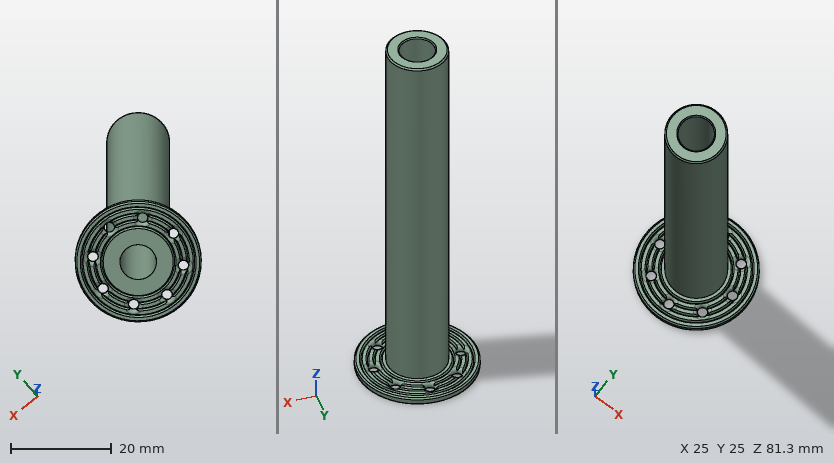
import cadquery as cq

total_height = 81.25
flange_diameter = 25.0
flange_thickness = 1.6
flange_chamfer = 0.3

tube_diameter = 12.5
tube_chamfer = 0.3
bore_diameter = 7.2
bore_chamfer = 0.25

hole_count = 8
hole_diameter = 2.0
hole_circle_radius = 9.0

groove_count = 4
first_groove_radius = 7.2
last_groove_radius = 11.2
groove_pitch = (last_groove_radius - first_groove_radius) / (groove_count - 1)
groove_width = 0.6
groove_depth = 0.5


def turn(outline):
    """Solid of revolution about the Z axis from a closed half section."""
    return outline.close().revolve(360, (0, 0), (0, 1))


def make_body():
    """Tube standing on the flange, turned from one half section with a through bore."""
    bore_radius = bore_diameter / 2
    tube_radius = tube_diameter / 2
    flange_radius = flange_diameter / 2
    section = [
        (bore_radius, 0),
        (flange_radius - flange_chamfer, 0),
        (flange_radius, flange_chamfer),
        (flange_radius, flange_thickness - flange_chamfer),
        (flange_radius - flange_chamfer, flange_thickness),
        (tube_radius, flange_thickness),
        (tube_radius, total_height - tube_chamfer),
        (tube_radius - tube_chamfer, total_height),
        (bore_radius + bore_chamfer, total_height),
        (bore_radius, total_height - bore_chamfer),
    ]
    return turn(cq.Workplane("XZ").polyline(section))


def make_groove(radius, face_height, inward):
    """V-shaped ring cut into a flange face; inward is the Z sign pointing into the flange."""
    section = [
        (radius - groove_width / 2, face_height),
        (radius, face_height + inward * groove_depth),
        (radius + groove_width / 2, face_height),
    ]
    return turn(cq.Workplane("XZ").polyline(section))


def make_hole():
    """Turned cutter for one through hole whose wall is a half round, narrowest at mid thickness."""
    mouth_radius = hole_diameter / 2 + flange_thickness / 2
    mid_height = flange_thickness / 2
    outline = (
        cq.Workplane("XZ")
        .lineTo(mouth_radius, 0)
        .threePointArc((hole_diameter / 2, mid_height), (mouth_radius, flange_thickness))
        .lineTo(0, flange_thickness)
    )
    return turn(outline)


result = make_body()

for index in range(groove_count):
    groove_radius = first_groove_radius + index * groove_pitch
    result = result.cut(make_groove(groove_radius, flange_thickness, -1))
    result = result.cut(make_groove(groove_radius, 0, 1))

hole = make_hole().translate((hole_circle_radius, 0, 0))
for index in range(hole_count):
    angle = index * 360 / hole_count
    result = result.cut(hole.rotate((0, 0, 0), (0, 0, 1), angle))